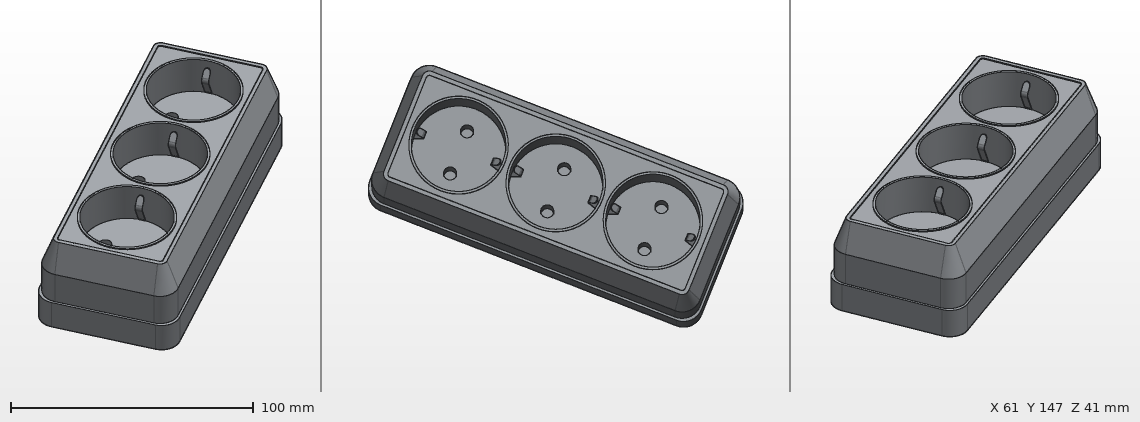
import cadquery as cq

base_width = 61.0
base_length = 147.0
base_height = 13.1
corner_radius = 8.0

total_height = 41.0
ledge = 1.0
wall_top = 27.6
shoulder_inset = 4.9

frame_width = 1.8
frame_height = 0.5
recess_corner_radius = 1.3

socket_count = 3
socket_pitch = 43.0
socket_diameter = 39.0
rim_diameter = 41.0
socket_depth = 16.6
pin_diameter = 5.5
pin_spacing = 19.0
pin_depth = 8.8

strip_width = 3.1
strip_thickness = 0.5
strip_bend_diameter = 4.5
strip_end_reach = 18.2
strip_end_drop = 2.5
strip_tip_reach = 14.4
strip_tip_drop = 6.9
strip_foot_reach = 19.3

housing_width = base_width - 2 * ledge
housing_length = base_length - 2 * ledge
top_width = housing_width - 2 * shoulder_inset
top_length = housing_length - 2 * shoulder_inset
panel_z = total_height - frame_height
floor_z = panel_z - socket_depth
rim_to_floor = total_height - floor_z
strip_bend_radius = strip_bend_diameter / 2


def rounded_block(width, length, height, radius, bottom_z):
    """Box centred on the Z axis with rounded vertical corners."""
    block = cq.Workplane("XY").box(width, length, height, centered=(True, True, False))
    return block.edges("|Z").fillet(radius).translate((0, 0, bottom_z))


def shoulder():
    """Tapered upper part; its corner cones keep the corner axes of the wall below."""
    lower = cq.Sketch().rect(housing_width, housing_length).vertices().fillet(corner_radius)
    upper = cq.Sketch().rect(top_width, top_length).vertices().fillet(corner_radius - shoulder_inset)
    return (
        cq.Workplane("XY")
        .placeSketch(lower.moved(cq.Location(cq.Vector(0, 0, wall_top))),
                     upper.moved(cq.Location(cq.Vector(0, 0, total_height))))
        .loft(ruled=True)
    )


def cylinder(diameter, height, x, y, bottom_z):
    return cq.Workplane("XY").circle(diameter / 2).extrude(height).translate((x, y, bottom_z))


def round_ended_outline(end_z):
    """Front outline of a strip: straight sides closed by a half circle at the upper end."""
    half_width = strip_width / 2
    arc_start_z = end_z - half_width
    return (
        cq.Workplane("XZ")
        .moveTo(-half_width, floor_z)
        .lineTo(-half_width, arc_start_z)
        .threePointArc((0, end_z), (half_width, arc_start_z))
        .lineTo(half_width, floor_z)
        .close()
        .extrude(-socket_diameter)
    )


def contact_strip():
    """V-shaped strip on the +Y side of a socket centred on the Z axis."""
    tip_z = panel_z - strip_tip_drop
    end_z = panel_z - strip_end_drop
    front_face = [
        (strip_end_reach, end_z),
        (strip_tip_reach, tip_z),
        (strip_foot_reach, floor_z),
    ]
    back_face = [(y + strip_thickness, z) for y, z in reversed(front_face)]
    strip = (
        cq.Workplane("YZ")
        .polyline(front_face + back_face)
        .close()
        .extrude(strip_width / 2, both=True)
    )
    bend_front = cq.selectors.NearestToPointSelector((0, strip_tip_reach, tip_z))
    bend_back = cq.selectors.NearestToPointSelector((0, strip_tip_reach + strip_thickness, tip_z))
    strip = strip.edges("|X").edges(bend_front).fillet(strip_bend_radius)
    strip = strip.edges("|X").edges(bend_back).fillet(strip_bend_radius - strip_thickness)
    return strip.intersect(round_ended_outline(end_z))


body = rounded_block(base_width, base_length, base_height, corner_radius, 0)
body = body.union(
    rounded_block(housing_width, housing_length, wall_top - base_height, corner_radius, base_height)
)
body = body.union(shoulder())
body = body.cut(
    rounded_block(
        top_width - 2 * frame_width,
        top_length - 2 * frame_width,
        frame_height,
        recess_corner_radius,
        panel_z,
    )
)

strip = contact_strip()
for index in range(socket_count):
    socket_y = (index - (socket_count - 1) / 2) * socket_pitch
    body = body.union(cylinder(rim_diameter, rim_to_floor, 0, socket_y, floor_z))
    body = body.cut(cylinder(socket_diameter, rim_to_floor, 0, socket_y, floor_z))
    for side in (-1, 1):
        pin_x = side * pin_spacing / 2
        body = body.cut(cylinder(pin_diameter, pin_depth, pin_x, socket_y, floor_z - pin_depth))
    for angle in (0, 180):
        placed = strip.rotate((0, 0, 0), (0, 0, 1), angle).translate((0, socket_y, 0))
        body = body.union(placed)

result = body